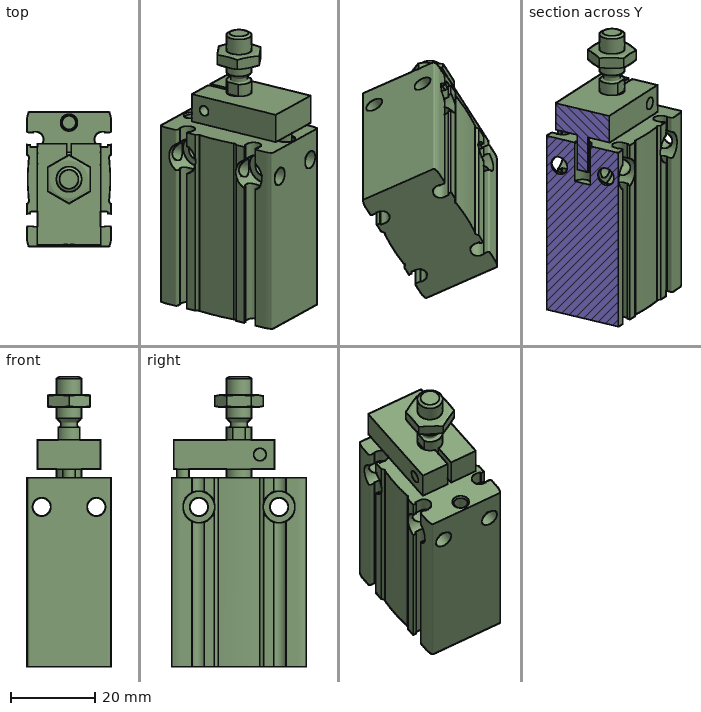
import cadquery as cq
import math

TOTAL_HEIGHT = 69.0

HOUSING_WIDTH = 20.0
HOUSING_LENGTH = 32.0
HOUSING_HEIGHT = 45.0
CORNER_RADIUS = 0.4
SIDE_TAPER_START = 14.1
SIDE_TAPER = 0.3

SLOT_Y = 9.45
SLOT_DIAMETER = 3.6
SLOT_CENTRE_INSET = 2.15
SLOT_OUTER_LIP_Y = 11.1
SLOT_INNER_LIP_Y = 8.15
SLOT_OUTER_LIP_DEPTH = 1.5
SLOT_INNER_LIP_DEPTH = 0.8
SLOT_OUTER_LIP_RADIUS = 0.4
SLOT_INNER_LIP_RADIUS = 0.15
SLOT_INNER_LIP_STEP = 0.4

PANEL_STEP_OUTER_Y = 5.85
PANEL_STEP_INNER_Y = 5.6
PANEL_HALF_LENGTH = 4.9
PANEL_EDGE_DEPTH = 0.4
PANEL_CROWN_DEPTH = 0.17
PANEL_STEP_DEPTH = 0.3
PANEL_GROOVE_DEPTH = 0.55
PANEL_GROOVE_MIDDLE_DEPTH = 0.5

HOLE_DIAMETER = 4.3
HOLE_Z = 38.0
SIDE_HOLE_Y = 9.5
FRONT_HOLE_X = 6.5
COUNTERBORE_DIAMETER = 7.5
COUNTERBORE_DEPTH = 6.0

TOP_HOLE_Y = 13.45
TAPPED_DIAMETER = 3.25
TAPPED_MOUTH_DIAMETER = 4.0
TAPPED_DEPTH = 6.0
GUIDE_HOLE_DIAMETER = 4.15
GUIDE_MOUTH_DIAMETER = 4.5
GUIDE_HOLE_DEPTH = 10.0

PLATE_WIDTH = 15.0
PLATE_BACK_Y = 8.5
PLATE_FRONT_Y = -15.5
PLATE_BOTTOM_Z = 47.0
PLATE_THICKNESS = 7.0
PLATE_TOP_Z = PLATE_BOTTOM_Z + PLATE_THICKNESS
CLAMP_SLOT_WIDTH = 1.0
GUIDE_PIN_DIAMETER = 3.0
GUIDE_PIN_Y = -13.3
GUIDE_PIN_ENGAGEMENT = 7.0

SCREW_Y = 5.0
SCREW_Z = PLATE_BOTTOM_Z + PLATE_THICKNESS / 2
SCREW_DIAMETER = 3.0
SCREW_ACCESS_DIAMETER = 2.5
SCREW_ACCESS_DEPTH = 3.5

ROD_DIAMETER = 6.0
ROD_ENGAGEMENT = 10.0
ROD_SHOULDER_Z = 57.0
ROD_FLATS_WIDTH = 5.2
NECK_DIAMETER = 4.0
NECK_TOP_Z = 58.1
NECK_FILLET = 0.3
TIP_DIAMETER = 4.5
TIP_CHAMFER_HEIGHT = 0.5

NUT_ACROSS_FLATS = 10.0
NUT_BOTTOM_Z = 61.7
NUT_THICKNESS = 3.0
NUT_FACE_DIAMETER = 9.0
NUT_CHAMFER_ANGLE = 12.0


def vertical_cylinder(diameter, bottom_z, top_z, y=0.0):
    return cq.Workplane("XY", origin=(0, y, bottom_z)).circle(diameter / 2).extrude(top_z - bottom_z)


def cylinder_along_x(diameter, x_start, x_end, y, z):
    return cq.Workplane("YZ", origin=(x_start, y, z)).circle(diameter / 2).extrude(x_end - x_start)


def corner_cutter():
    """Side curving in to a rounded corner, at the +X, +Y edge of the block."""
    side = HOUSING_WIDTH / 2
    end = HOUSING_LENGTH / 2
    shoulder_x = side - SIDE_TAPER
    shoulder_y = end - CORNER_RADIUS
    arc_middle = CORNER_RADIUS * (1 - math.sqrt(0.5))
    return (
        cq.Workplane("XY")
        .moveTo(side, SIDE_TAPER_START)
        .threePointArc(
            (side - SIDE_TAPER / 4, (SIDE_TAPER_START + shoulder_y) / 2),
            (shoulder_x, shoulder_y),
        )
        .threePointArc((shoulder_x - arc_middle, end - arc_middle), (shoulder_x - CORNER_RADIUS, end))
        .lineTo(side, end)
        .close()
        .extrude(HOUSING_HEIGHT)
    )


def slot_cutter():
    """Round-bottomed slot behind two lips, on the +X side at +Y."""
    side = HOUSING_WIDTH / 2
    radius = SLOT_DIAMETER / 2
    centre_x = side - SLOT_CENTRE_INSET
    outer_lip_x = side - SLOT_OUTER_LIP_DEPTH
    inner_lip_x = side - SLOT_INNER_LIP_DEPTH
    outer_middle = SLOT_OUTER_LIP_RADIUS * (1 - math.sqrt(0.5))
    inner_middle = SLOT_INNER_LIP_RADIUS * (1 - math.sqrt(0.5))
    return (
        cq.Workplane("XY")
        .moveTo(side, SLOT_INNER_LIP_Y + SLOT_INNER_LIP_RADIUS)
        .threePointArc(
            (side - inner_middle, SLOT_INNER_LIP_Y + inner_middle),
            (side - SLOT_INNER_LIP_RADIUS, SLOT_INNER_LIP_Y),
        )
        .lineTo(inner_lip_x, SLOT_INNER_LIP_Y)
        .lineTo(inner_lip_x, SLOT_INNER_LIP_Y - SLOT_INNER_LIP_STEP)
        .lineTo(centre_x, SLOT_Y - radius)
        .threePointArc((centre_x - radius, SLOT_Y), (centre_x, SLOT_Y + radius))
        .lineTo(outer_lip_x, SLOT_Y + radius)
        .lineTo(outer_lip_x, SLOT_OUTER_LIP_Y)
        .lineTo(side - SLOT_OUTER_LIP_RADIUS, SLOT_OUTER_LIP_Y)
        .threePointArc(
            (side - outer_middle, SLOT_OUTER_LIP_Y + outer_middle),
            (side, SLOT_OUTER_LIP_Y + SLOT_OUTER_LIP_RADIUS),
        )
        .close()
        .extrude(HOUSING_HEIGHT)
    )


def side_panel_cutter():
    """Crowned recess with a curved groove at each end, on the +X side."""
    side = HOUSING_WIDTH / 2
    step_x = side - PANEL_STEP_DEPTH
    edge_x = side - PANEL_EDGE_DEPTH
    groove_x = side - PANEL_GROOVE_DEPTH
    groove_middle_x = side - PANEL_GROOVE_MIDDLE_DEPTH
    groove_middle_y = (PANEL_HALF_LENGTH + PANEL_STEP_INNER_Y) / 2
    return (
        cq.Workplane("XY")
        .moveTo(side, -PANEL_STEP_OUTER_Y)
        .lineTo(step_x, -PANEL_STEP_INNER_Y)
        .threePointArc((groove_middle_x, -groove_middle_y), (groove_x, -PANEL_HALF_LENGTH))
        .lineTo(edge_x, -PANEL_HALF_LENGTH)
        .threePointArc((side - PANEL_CROWN_DEPTH, 0), (edge_x, PANEL_HALF_LENGTH))
        .lineTo(groove_x, PANEL_HALF_LENGTH)
        .threePointArc((groove_middle_x, groove_middle_y), (step_x, PANEL_STEP_INNER_Y))
        .lineTo(side, PANEL_STEP_OUTER_Y)
        .close()
        .extrude(HOUSING_HEIGHT)
    )


def chamfered_top_hole(diameter, mouth_diameter, depth, y):
    """Blind hole from the housing top with a 45 degree mouth."""
    mouth = (mouth_diameter - diameter) / 2
    return (
        cq.Workplane("XZ", origin=(0, y, HOUSING_HEIGHT))
        .moveTo(0, 0)
        .lineTo(mouth_diameter / 2, 0)
        .lineTo(diameter / 2, -mouth)
        .lineTo(diameter / 2, -depth)
        .lineTo(0, -depth)
        .close()
        .revolve(360, (0, 0, 0), (0, 1, 0))
    )


def make_housing():
    side = HOUSING_WIDTH / 2
    housing = cq.Workplane("XY").rect(HOUSING_WIDTH, HOUSING_LENGTH).extrude(HOUSING_HEIGHT)

    half_cutter = corner_cutter().union(slot_cutter())
    half_cutter = half_cutter.union(half_cutter.mirror("XZ")).union(side_panel_cutter())
    housing = housing.cut(half_cutter).cut(half_cutter.mirror("YZ"))

    for y in (-SIDE_HOLE_Y, SIDE_HOLE_Y):
        housing = housing.cut(cylinder_along_x(HOLE_DIAMETER, -side, side, y, HOLE_Z))
        for face, floor in ((-side, COUNTERBORE_DEPTH - side), (side, side - COUNTERBORE_DEPTH)):
            housing = housing.cut(cylinder_along_x(COUNTERBORE_DIAMETER, face, floor, y, HOLE_Z))

    front_holes = (
        cq.Workplane("XZ", origin=(0, HOUSING_LENGTH / 2, 0))
        .pushPoints([(-FRONT_HOLE_X, HOLE_Z), (FRONT_HOLE_X, HOLE_Z)])
        .circle(HOLE_DIAMETER / 2)
        .extrude(HOUSING_LENGTH)
    )
    housing = housing.cut(front_holes)

    housing = housing.cut(vertical_cylinder(ROD_DIAMETER, HOUSING_HEIGHT - ROD_ENGAGEMENT, HOUSING_HEIGHT))
    housing = housing.cut(
        chamfered_top_hole(TAPPED_DIAMETER, TAPPED_MOUTH_DIAMETER, TAPPED_DEPTH, TOP_HOLE_Y)
    )
    return housing.cut(
        chamfered_top_hole(GUIDE_HOLE_DIAMETER, GUIDE_MOUTH_DIAMETER, GUIDE_HOLE_DEPTH, -TOP_HOLE_Y)
    )


def make_screw():
    """Headless clamp screw, from the end of the access hole to the +X face of the plate."""
    half_width = PLATE_WIDTH / 2
    return cylinder_along_x(SCREW_DIAMETER, SCREW_ACCESS_DEPTH - half_width, half_width, SCREW_Y, SCREW_Z)


def make_plate(screw):
    half_width = PLATE_WIDTH / 2
    plate_corner = (-half_width, PLATE_FRONT_Y, PLATE_BOTTOM_Z)
    plate = cq.Workplane("XY", origin=plate_corner).box(
        PLATE_WIDTH, PLATE_BACK_Y - PLATE_FRONT_Y, PLATE_THICKNESS, centered=False
    )

    plate = plate.cut(vertical_cylinder(ROD_DIAMETER, PLATE_BOTTOM_Z, PLATE_TOP_Z))
    slot = cq.Workplane("XY", origin=(-CLAMP_SLOT_WIDTH / 2, 0, PLATE_BOTTOM_Z)).box(
        CLAMP_SLOT_WIDTH, PLATE_BACK_Y, PLATE_THICKNESS, centered=False
    )
    plate = plate.cut(slot)

    access = cylinder_along_x(
        SCREW_ACCESS_DIAMETER, -half_width, SCREW_ACCESS_DEPTH - half_width, SCREW_Y, SCREW_Z
    )
    plate = plate.cut(access).cut(screw)

    pin = vertical_cylinder(
        GUIDE_PIN_DIAMETER, HOUSING_HEIGHT - GUIDE_PIN_ENGAGEMENT, PLATE_BOTTOM_Z, GUIDE_PIN_Y
    )
    return plate.union(pin)


def make_rod():
    radius = ROD_DIAMETER / 2
    neck_radius = NECK_DIAMETER / 2
    rod = (
        cq.Workplane("XZ")
        .moveTo(0, HOUSING_HEIGHT - ROD_ENGAGEMENT)
        .lineTo(radius, HOUSING_HEIGHT - ROD_ENGAGEMENT)
        .lineTo(radius, ROD_SHOULDER_Z)
        .lineTo(neck_radius, ROD_SHOULDER_Z)
        .lineTo(neck_radius, NECK_TOP_Z)
        .lineTo(radius, NECK_TOP_Z + radius - neck_radius)
        .lineTo(radius, TOTAL_HEIGHT - TIP_CHAMFER_HEIGHT)
        .lineTo(TIP_DIAMETER / 2, TOTAL_HEIGHT)
        .lineTo(0, TOTAL_HEIGHT)
        .close()
        .revolve(360, (0, 0, 0), (0, 1, 0))
    )

    neck_ends = cq.selectors.BoxSelector(
        (-ROD_DIAMETER, -ROD_DIAMETER, ROD_SHOULDER_Z - NECK_FILLET),
        (ROD_DIAMETER, ROD_DIAMETER, NECK_TOP_Z + NECK_FILLET),
    )
    rod = rod.edges(neck_ends).edges(cq.selectors.RadiusNthSelector(0)).fillet(NECK_FILLET)

    flats_height = ROD_SHOULDER_Z - PLATE_TOP_Z
    flats_plane = cq.Workplane("XY", origin=(0, 0, PLATE_TOP_Z))
    collar = flats_plane.rect(ROD_DIAMETER, ROD_DIAMETER).extrude(flats_height)
    land = flats_plane.rect(ROD_FLATS_WIDTH, ROD_DIAMETER).extrude(flats_height)
    return rod.cut(collar.cut(land))


def make_nut():
    corner_radius = NUT_ACROSS_FLATS / math.sqrt(3)
    face_radius = NUT_FACE_DIAMETER / 2
    chamfer_drop = (corner_radius - face_radius) * math.tan(math.radians(NUT_CHAMFER_ANGLE))
    hexagon = (
        cq.Workplane("XY", origin=(0, 0, NUT_BOTTOM_Z))
        .polygon(6, 2 * corner_radius)
        .extrude(NUT_THICKNESS)
        .rotate((0, 0, 0), (0, 0, 1), 30)
    )
    chamfer_envelope = (
        cq.Workplane("XZ", origin=(0, 0, NUT_BOTTOM_Z))
        .moveTo(0, 0)
        .lineTo(face_radius, 0)
        .lineTo(corner_radius, chamfer_drop)
        .lineTo(corner_radius, NUT_THICKNESS - chamfer_drop)
        .lineTo(face_radius, NUT_THICKNESS)
        .lineTo(0, NUT_THICKNESS)
        .close()
        .revolve(360, (0, 0, 0), (0, 1, 0))
    )
    bore = vertical_cylinder(ROD_DIAMETER, NUT_BOTTOM_Z, NUT_BOTTOM_Z + NUT_THICKNESS)
    return hexagon.intersect(chamfer_envelope).cut(bore)


housing = make_housing()
rod = make_rod()
nut = make_nut()
screw = make_screw()
plate = make_plate(screw)

result = cq.Compound.makeCompound([housing.val(), rod.val(), nut.val(), plate.val(), screw.val()])